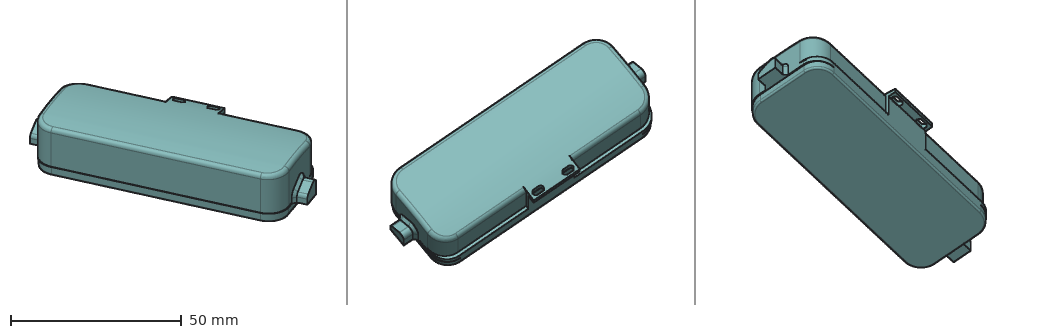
import cadquery as cq
import math

cap_length = 79.4
cap_width = 28.25
crown_height = 17.1
crown_radius = 90.0
corner_radius = 6.4
crown_fillet = 1.5

rim_height = 3.0
base_corner_radius = 6.2
rim_inset = 0.25
rim_bottom_fillet = 0.6
ledge_top = 5.05
ledge_depth = 1.15

tongue_width = 16.8
tongue_reach = 3.7
tongue_underside = 13.75
slot_length = 3.8
slot_width = 1.9
slot_spacing = 10.9
slot_edge_margin = 0.75

overall_length = 88.3
peg_rear = 2.2
peg_front = -4.4
peg_peak = 9.65
peg_slope = 30.0
peg_corner_radius = 1.5
flare_length = 1.15
flare_angle = 45.0
peg_embed = 1.0

cap_front = -cap_width / 2
cap_rear = cap_width / 2
ledge_rear = cap_rear + ledge_depth
tongue_rear = cap_rear + tongue_reach
crown_axis_height = crown_height - crown_radius


def rounded_block(length, front, rear, bottom, top, radius):
    """Upright block centred on X with rounded vertical corners."""
    return (
        cq.Workplane("XY", origin=(0, (front + rear) / 2, bottom))
        .rect(length, rear - front)
        .extrude(top - bottom)
        .edges("|Z")
        .fillet(radius)
    )


def plain_block(length, front, rear, bottom, top):
    """Sharp-edged block centred on X."""
    return (
        cq.Workplane("XY", origin=(0, (front + rear) / 2, bottom))
        .rect(length, rear - front)
        .extrude(top - bottom)
    )


def crown_cylinder():
    """Large cylinder along X whose upper surface is the arched top."""
    return (
        cq.Workplane("YZ", origin=(-overall_length / 2, 0, crown_axis_height))
        .circle(crown_radius)
        .extrude(overall_length)
    )


def make_cap():
    """Arched cap with a rounded upper edge."""
    block = rounded_block(cap_length, cap_front, cap_rear, rim_height, crown_height, corner_radius)
    return block.intersect(crown_cylinder()).faces(">Z").edges().fillet(crown_fillet)


def make_ledge():
    """Lowest band of the cap's rear half, stepping out at the rear."""
    block = plain_block(cap_length, 0, ledge_rear, rim_height, ledge_top)
    return block.edges("|Z and >Y").fillet(base_corner_radius)


def make_rim():
    """Slightly inset rim with a rounded bottom edge."""
    rim = rounded_block(
        cap_length - 2 * rim_inset,
        cap_front + rim_inset,
        ledge_rear,
        0,
        rim_height,
        base_corner_radius,
    )
    return rim.faces("<Z").edges().fillet(rim_bottom_fillet)


def make_tongue():
    """Slotted tongue continuing the arched top, with its supporting web."""
    root = cap_rear - crown_fillet
    web = plain_block(tongue_width, root, ledge_rear, ledge_top, crown_height)
    plate = plain_block(tongue_width, root, tongue_rear, tongue_underside, crown_height)
    slot_centre = tongue_rear - slot_edge_margin - slot_width / 2
    slots = (
        cq.Workplane("XY", origin=(0, slot_centre, tongue_underside))
        .pushPoints([(-slot_spacing / 2, 0), (slot_spacing / 2, 0)])
        .slot2D(slot_length, slot_width)
        .extrude(crown_height - tongue_underside)
    )
    return web.union(plate).intersect(crown_cylinder()).cut(slots)


def peg_outline(plane_x):
    """Peg profile in YZ, carried below the rim top so that its foot can be trimmed flat."""
    shoulder = peg_peak - (peg_rear - peg_front) * math.tan(math.radians(peg_slope))
    points = [
        (peg_rear, -rim_height),
        (peg_rear, peg_peak),
        (peg_front, shoulder),
        (peg_front, -rim_height),
    ]
    profile = cq.Sketch().polygon(points + points[:1]).vertices().fillet(peg_corner_radius)
    return cq.Workplane("YZ", origin=(plane_x, 0, 0)).placeSketch(profile)


def make_peg():
    """Peg on the +X end."""
    wall = cap_length / 2
    root = wall - peg_embed
    shaft = peg_outline(root).extrude(overall_length / 2 - root)
    flare = peg_outline(wall + flare_length).extrude(-flare_length, taper=-flare_angle)
    foot = plain_block(overall_length, cap_front, cap_rear, -2 * rim_height, rim_height)
    return shaft.union(flare).cut(foot)


peg = make_peg()
result = (
    make_cap()
    .union(make_ledge())
    .union(make_rim())
    .union(make_tongue())
    .union(peg)
    .union(peg.mirror("YZ"))
)